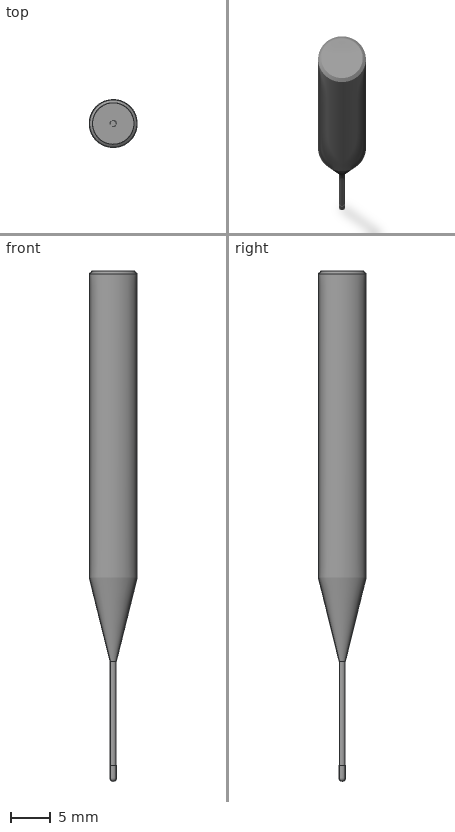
import cadquery as cq
import math

overall_length = 64.0

head_diameter = 0.8
head_length = 2.0

neck_diameter = 0.75
neck_top = 15.0

shank_diameter = 6.0
shank_chamfer = 0.4
taper_half_angle = 14.0

head_radius = head_diameter / 2
neck_radius = neck_diameter / 2
shank_radius = shank_diameter / 2
taper_length = (shank_radius - neck_radius) / math.tan(math.radians(taper_half_angle))
taper_top = neck_top + taper_length


def revolve_about_axis(half_profile):
    """Turn a closed X-Z half profile around the tool axis."""
    return half_profile.revolve(360, (0, 0, 0), (0, 1, 0))


def make_shank():
    """Round shank, chamfered at the top and tapering to the neck diameter at its lower end."""
    half_profile = (
        cq.Workplane("XZ")
        .moveTo(0, neck_top)
        .lineTo(neck_radius, neck_top)
        .lineTo(shank_radius, taper_top)
        .lineTo(shank_radius, overall_length - shank_chamfer)
        .lineTo(shank_radius - shank_chamfer, overall_length)
        .lineTo(0, overall_length)
        .close()
    )
    return revolve_about_axis(half_profile)


def make_neck():
    """Slim cylinder between the cutting head and the taper."""
    neck_length = neck_top - head_length
    return cq.Workplane("XY").workplane(offset=head_length).circle(neck_radius).extrude(neck_length)


def make_cutting_head():
    """Short cylinder that ends in a hemisphere at the tip."""
    arc_middle = head_radius * math.sin(math.radians(45))
    half_profile = (
        cq.Workplane("XZ")
        .threePointArc((arc_middle, head_radius - arc_middle), (head_radius, head_radius))
        .lineTo(head_radius, head_length)
        .lineTo(0, head_length)
        .close()
    )
    return revolve_about_axis(half_profile)


shank = make_shank()
neck = make_neck()
cutting_head = make_cutting_head()

result = cq.Compound.makeCompound([shank.val(), neck.val(), cutting_head.val()])